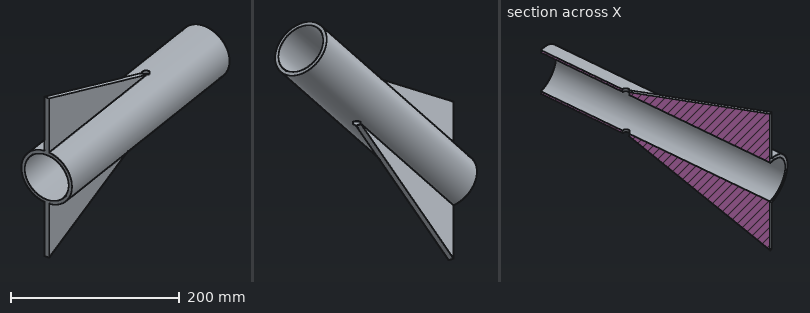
import cadquery as cq

tube_length = 330.2
tube_outer_diameter = 73.0
tube_inner_diameter = 63.0

span_over_fins = 225.5
fin_thickness = 7.0
fin_length = 203.7

hole_diameter = 9.2
hole_y = 207.7

outer_radius = tube_outer_diameter / 2
inner_radius = tube_inner_diameter / 2
fin_tip = span_over_fins / 2


def cylinder_along_y(diameter):
    return cq.Workplane("XZ").circle(diameter / 2).extrude(-tube_length)


def make_fin(side):
    """Fin on the upper (side = 1) or lower (side = -1) line of the tube."""
    root = (inner_radius + outer_radius) / 2
    outline = [
        (0, side * root),
        (0, side * fin_tip),
        (fin_length, side * outer_radius),
        (fin_length, side * root),
    ]
    return cq.Workplane("YZ").polyline(outline).close().extrude(fin_thickness / 2, both=True)


tube = cylinder_along_y(tube_outer_diameter).cut(cylinder_along_y(tube_inner_diameter))

finned_tube = tube
for side in (1, -1):
    finned_tube = finned_tube.union(make_fin(side))

cross_hole = (
    cq.Workplane("XY")
    .center(0, hole_y)
    .circle(hole_diameter / 2)
    .extrude(outer_radius, both=True)
)

result = finned_tube.cut(cross_hole)